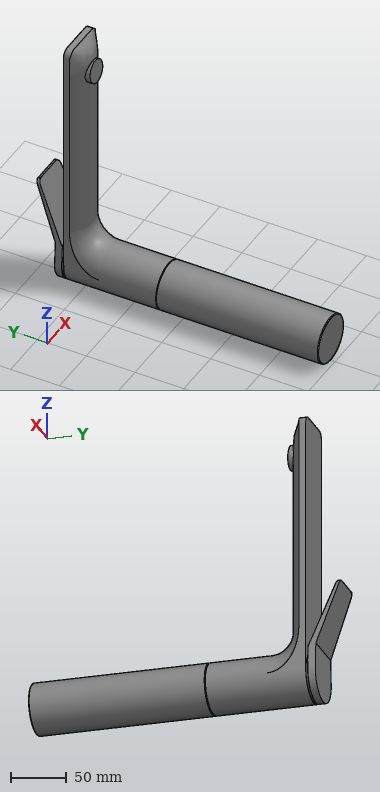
import cadquery as cq
import math

radius = 24.2

spout_top = 245.5
plate_thickness = 6.5
crest_depth = 17.8
corner_radius = 7.5
dome_height = 25.5
dome_tip_rise = 0.3
dome_power = 3
dome_sections = 7
bend_radius = 18.0
bend_sections = 7
section_root_depth = 3.0
section_root_inset = 3.8
joint_y = -94.5

pipe_end_y = -261.0
pipe_chamfer = 1.0

aerator_radius = 11.7
aerator_z = 215.0
aerator_face_depth = 20.7
aerator_length = 7.5
aerator_tilt = 5.5

spacer_radius = 23.5
spacer_thickness = 1.8
lever_back_y = 9.0
lever_hub_top = 24.2
lever_inner_bend_y = 2.3
lever_inner_bend_z = 23.0
lever_tip_y = 31.0
lever_tip_z = 85.0
lever_tip_thickness = 2.5
lever_tip_rise = 1.0
lever_tip_half_width = 18.7
lever_tip_corner_radius = 5.8

bend_y = -crest_depth - bend_radius
bend_z = radius + bend_radius


def cylinder_y(cylinder_radius, start_y, end_y):
    """Cylinder on the Y axis between two Y positions."""
    plane = cq.Workplane("XZ", origin=(0, max(start_y, end_y), 0))
    return plane.circle(cylinder_radius).extrude(abs(end_y - start_y))


def column_section(height, rise):
    """Closed wire across the spout: flat back and sides, front arched by the rise."""
    return (
        cq.Workplane("XY", origin=(0, 0, height))
        .moveTo(-radius, 0)
        .lineTo(-radius, -plate_thickness)
        .threePointArc((0, -plate_thickness - rise), (radius, -plate_thickness))
        .lineTo(radius, 0)
        .close()
        .val()
    )


def make_column():
    """Upright part of the spout: even stretch, smooth dome and rounded top corners."""
    full_rise = crest_depth - plate_thickness
    dome_start = spout_top - dome_height
    straight = cq.Solid.makeLoft(
        [column_section(bend_z, full_rise), column_section(dome_start, full_rise)], True
    )
    dome_wires = []
    for index in range(dome_sections):
        share = index / (dome_sections - 1)
        rise = dome_tip_rise + (full_rise - dome_tip_rise) * (1 - share**dome_power)
        dome_wires.append(column_section(dome_start + dome_height * share, rise))
    dome = cq.Solid.makeLoft(dome_wires)
    front = (
        cq.Workplane("XZ")
        .rect(2 * radius, 2 * spout_top)
        .extrude(crest_depth)
        .edges("|Y and >Z")
        .fillet(corner_radius)
    )
    return cq.Workplane(straight).union(cq.Workplane(dome)).intersect(front)


def bend_section(angle):
    """Arched wire across the bend, at an angle about the bend centre."""
    edge_y = bend_y + (-plate_thickness - bend_y) * math.cos(angle)
    edge_z = bend_z - bend_z * math.sin(angle)
    crest_y = bend_y + bend_radius * math.cos(angle)
    crest_z = bend_z - bend_radius * math.sin(angle)
    rise = math.hypot(crest_y - edge_y, crest_z - edge_z)
    direction = (0, (crest_y - edge_y) / rise, (crest_z - edge_z) / rise)
    plane = cq.Plane(
        origin=(0, edge_y, edge_z),
        xDir=(1, 0, 0),
        normal=cq.Vector(1, 0, 0).cross(cq.Vector(*direction)),
    )
    root_half_width = radius - section_root_inset
    return (
        cq.Workplane(plane)
        .moveTo(-radius, 0)
        .threePointArc((0, rise), (radius, 0))
        .lineTo(root_half_width, -section_root_depth)
        .lineTo(-root_half_width, -section_root_depth)
        .close()
        .val()
    )


def make_bend():
    """Loft from the shallow spout section to the half-round pipe section."""
    last = bend_sections - 1
    angles = [math.pi / 2 * index / last for index in range(bend_sections)]
    arch = cq.Workplane(cq.Solid.makeLoft([bend_section(angle) for angle in angles]))
    flank = (
        cq.Workplane("YZ")
        .moveTo(0, 0)
        .lineTo(0, bend_z)
        .lineTo(-plate_thickness, bend_z)
        .ellipseArc(
            -plate_thickness - bend_y, bend_z, angle1=270, angle2=360, sense=-1, startAtCurrent=True
        )
        .close()
        .extrude(radius, both=True)
    )
    return flank.union(arch)


def make_lower_tube():
    """Half-round underside up to the bend, then the full round to the joint."""
    underside = cylinder_y(radius, 0, bend_y).intersect(
        cq.Workplane("XY").box(2 * radius, -2 * bend_y, radius, centered=(True, True, False))
        .translate((0, 0, -radius))
    )
    return underside.union(cylinder_y(radius, bend_y, joint_y))


def make_aerator():
    """Short disc whose outer face leans toward the bottom of the spout."""
    tilt = math.radians(aerator_tilt)
    face = cq.Plane(
        origin=(0, -aerator_face_depth, aerator_z),
        xDir=(1, 0, 0),
        normal=(0, -math.cos(tilt), math.sin(tilt)),
    )
    return cq.Workplane(face).circle(aerator_radius).extrude(-aerator_length)


def make_lever():
    """Bent blade in side profile, trimmed to a round hub with tapering sides."""
    profile = (
        cq.Workplane("YZ")
        .polyline([
            (spacer_thickness, -radius),
            (lever_back_y, -radius),
            (lever_back_y, lever_hub_top),
            (lever_tip_y, lever_tip_z),
            (lever_tip_y - lever_tip_thickness, lever_tip_z + lever_tip_rise),
            (lever_inner_bend_y, lever_inner_bend_z),
            (spacer_thickness, lever_inner_bend_z),
        ])
        .close()
        .extrude(radius, both=True)
    )
    outline_top = lever_tip_z + lever_tip_rise
    outline = (
        cq.Workplane("XZ")
        .moveTo(-radius, 0)
        .threePointArc((0, -radius), (radius, 0))
        .lineTo(lever_tip_half_width, outline_top)
        .lineTo(-lever_tip_half_width, outline_top)
        .close()
        .extrude(-lever_tip_y)
        .edges("|Y and >Z")
        .fillet(lever_tip_corner_radius)
    )
    return profile.intersect(outline)


aerator = make_aerator()
spout = make_column().union(make_bend()).union(make_lower_tube()).cut(aerator)
supply_pipe = cylinder_y(radius, joint_y, pipe_end_y).faces("<Y or >Y").chamfer(pipe_chamfer)
spacer = cylinder_y(spacer_radius, spacer_thickness, 0)
lever = make_lever()

result = cq.Compound.makeCompound([
    spout.solids().val(),
    supply_pipe.solids().val(),
    aerator.val(),
    spacer.val(),
    lever.solids().val(),
])